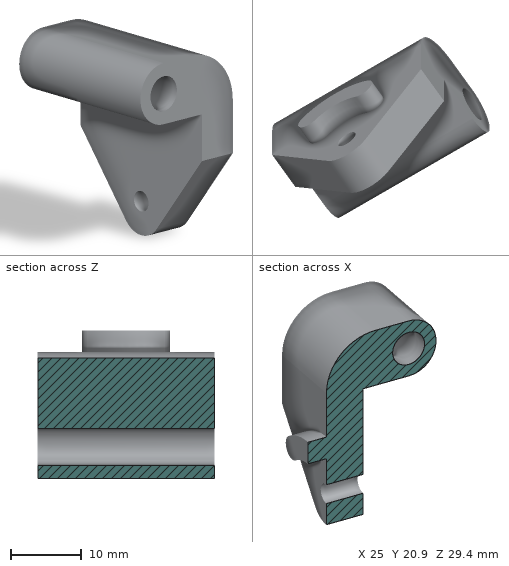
import cadquery as cq
import math

width = 25.0
height = 29.38
body_depth = 17.9
plate_thickness = 6.0
corner_radius = 8.0

barrel_radius = 4.5
barrel_bore_diameter = 5.1
barrel_y = barrel_radius - body_depth
barrel_z = height - barrel_radius

shoulder_z = 13.51
tip_radius = 4.0
pivot_diameter = 3.0
pivot_z = 5.0

key_height = 3.0
key_mid_radius = 7.52
key_end_radius = 1.8
key_half_angle = math.radians(36)


def polar(radius, angle):
    """Point around the pivot axis; the angle is measured from +Z towards +X."""
    return radius * math.sin(angle), pivot_z + radius * math.cos(angle)


def make_bracket():
    """Constant L-shaped section extruded across the full width."""
    bend = corner_radius * (1 - math.sqrt(0.5))
    arm_bottom = height - 2 * barrel_radius
    return (
        cq.Workplane("YZ")
        .workplane(offset=-width / 2)
        .moveTo(0, 0)
        .lineTo(0, height - corner_radius)
        .threePointArc((-bend, height - bend), (-corner_radius, height))
        .lineTo(barrel_y, height)
        .threePointArc((-body_depth, barrel_z), (barrel_y, arm_bottom))
        .lineTo(-plate_thickness, arm_bottom)
        .lineTo(-plate_thickness, 0)
        .close()
        .extrude(width)
    )


def make_front_outline():
    """Front silhouette: straight sides tapering tangentially into the rounded tip."""
    half_width = width / 2
    rise = shoulder_z - tip_radius
    tangent_angle = math.atan2(rise, half_width) - math.acos(tip_radius / math.hypot(half_width, rise))
    tangent_x = tip_radius * math.cos(tangent_angle)
    tangent_z = tip_radius * (1 + math.sin(tangent_angle))
    return (
        cq.Workplane("XZ")
        .moveTo(-half_width, height)
        .lineTo(half_width, height)
        .lineTo(half_width, shoulder_z)
        .lineTo(tangent_x, tangent_z)
        .threePointArc((0, 0), (-tangent_x, tangent_z))
        .lineTo(-half_width, shoulder_z)
        .close()
        .extrude(body_depth)
    )


def make_key():
    """Arc-shaped key with round ends, standing on the back face."""
    outer_radius = key_mid_radius + key_end_radius
    inner_radius = key_mid_radius - key_end_radius
    end_x, end_z = polar(key_mid_radius, key_half_angle)
    cap_x = end_x + key_end_radius * math.cos(key_half_angle)
    cap_z = end_z - key_end_radius * math.sin(key_half_angle)
    return (
        cq.Workplane("XZ")
        .moveTo(*polar(outer_radius, -key_half_angle))
        .threePointArc(polar(outer_radius, 0), polar(outer_radius, key_half_angle))
        .threePointArc((cap_x, cap_z), polar(inner_radius, key_half_angle))
        .threePointArc(polar(inner_radius, 0), polar(inner_radius, -key_half_angle))
        .threePointArc((-cap_x, cap_z), polar(outer_radius, -key_half_angle))
        .close()
        .extrude(-key_height)
    )


barrel_bore = (
    cq.Workplane("YZ")
    .workplane(offset=-width / 2)
    .center(barrel_y, barrel_z)
    .circle(barrel_bore_diameter / 2)
    .extrude(width)
)

pivot_hole = (
    cq.Workplane("XZ")
    .center(0, pivot_z)
    .circle(pivot_diameter / 2)
    .extrude(plate_thickness)
)

body = make_bracket().intersect(make_front_outline())
result = body.union(make_key()).cut(barrel_bore).cut(pivot_hole)